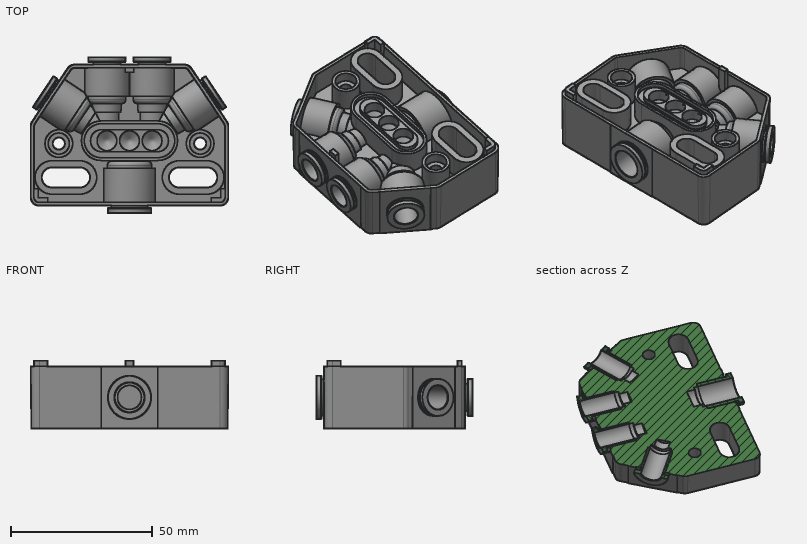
import cadquery as cq
import math

half_width = 35.0
half_depth = 25.0
housing_height = 22.0
floor_height = 12.6
wall = 1.2
draft_angle = 0.6
corner_radius = 3.0
shoulder_y = 4.0
shoulder_x = 21.0
slant_angle = math.degrees(math.atan2(half_depth - shoulder_y, half_width - shoulder_x))

rib_rise = 2.0
rib_thickness = 1.6
corner_rib_length = 4.8
back_rib_width = 3.0

manifold_y = -2.0
manifold_length = 34.0
manifold_width = 14.0
manifold_height = 21.8
manifold_lip = 1.0
groove_depth = 1.5
island_length = 27.6
island_width = 7.8
outlet_diameter = 7.0
outlet_depth = 4.2
outlet_tip_angle = 118.0
outlet_pitch = 8.0

tower_x = 25.0
tower_y = -3.0
tower_height = 21.8
tower_diameter = 9.8
counterbore_diameter = 7.5
counterbore_depth = 4.0
screw_diameter = 4.2

slot_x = 22.5
slot_y = -15.0
slot_length = 17.0
slot_width = 7.0
slot_wall = 2.4

port_z = housing_height / 2
back_port_x = 8.0
slant_port_shift = 0.7
protrusion = 2.6
flange_thickness = 1.9
flange_chamfer_length = 0.4
flange_chamfer_width = 0.2
mouth_recess_depth = 0.3
sleeve_depth = 10.5
tube_seat_depth = 12.0
bore_depth = 15.0
end_fillet = 1.5
mouth_chamfer = 0.2

small_port = {
    "barrel_radius": 8.0,
    "barrel_length": 11.3,
    "collar_radius": 6.85,
    "collar_end": 13.9,
    "flange_radius": 6.6,
    "sleeve_radius": 4.85,
    "tube_radius": 4.2,
    "bore_radius": 3.2,
    "pad_half_width": 9.0,
}
large_port = {
    "barrel_radius": 9.3,
    "barrel_length": 13.2,
    "collar_radius": 8.0,
    "collar_end": 15.8,
    "flange_radius": 7.7,
    "sleeve_radius": 6.5,
    "tube_radius": 5.2,
    "bore_radius": 4.25,
    "pad_half_width": 10.0,
}

neck_start_radius = 5.4
neck_end_radius = 5.2
neck_taper_end = 16.9
neck_radius = 4.55
back_neck_end = 20.0
slant_neck_end = 22.0


def port_frame(x, y, turn):
    """Workplane centred on a port mouth, its normal pointing into the housing.

    A turn of zero looks along +Y; positive turns are counter-clockwise from above.
    """
    angle = math.radians(turn)
    inward = (-math.sin(angle), math.cos(angle), 0)
    across = (math.cos(angle), math.sin(angle), 0)
    return cq.Workplane(cq.Plane(origin=(x, y, port_z), xDir=across, normal=inward))


slant_x = (half_width + shoulder_x) / 2 + slant_port_shift * math.cos(math.radians(slant_angle))
slant_y = (half_depth + shoulder_y) / 2 - slant_port_shift * math.sin(math.radians(slant_angle))

front_frame = port_frame(0, -half_depth, 0)
back_frames = [port_frame(side * back_port_x, half_depth, 180) for side in (-1, 1)]
slant_frames = [port_frame(side * slant_x, slant_y, side * (180 - slant_angle)) for side in (-1, 1)]
small_ports = [(frame, back_neck_end) for frame in back_frames]
small_ports += [(frame, slant_neck_end) for frame in slant_frames]


def outline_prism(inset, start, end, taper=0):
    """Prism on the housing outline, shrunk by the inset, that starts at one height and ends at another."""
    corners = [
        (-half_width, -half_depth),
        (half_width, -half_depth),
        (half_width, shoulder_y),
        (shoulder_x, half_depth),
        (-shoulder_x, half_depth),
        (-half_width, shoulder_y),
    ]
    block = cq.Workplane("XY").polyline(corners).close().extrude(housing_height)
    outline = block.edges("|Z").fillet(corner_radius).faces("<Z").wires().val()
    if inset > 0:
        outline = outline.offset2D(-inset)[0]
    outline = outline.translate(cq.Vector(0, 0, start))
    base = cq.Workplane("XY", origin=(0, 0, start))
    return base.add(outline).toPending().extrude(end - start, taper=taper)


def drafted_prism(inset, bottom):
    """Outline prism hanging from the rim level and narrowing towards its bottom."""
    return outline_prism(inset, housing_height, bottom, draft_angle)


def slot_prism(x, y, length, width, bottom, top):
    """Upright prism with a round-ended outline along X."""
    base = cq.Workplane("XY", origin=(x, y, bottom))
    return base.slot2D(length, width).extrude(top - bottom)


def disc(frame, start, end, radius):
    """Cylinder along a port axis between two depths below the port mouth."""
    return frame.workplane(offset=start).circle(radius).extrude(end - start)


def cone(frame, start, end, start_radius, end_radius):
    """Truncated cone along a port axis between two depths below the port mouth."""
    base = frame.workplane(offset=start).circle(start_radius)
    return base.workplane(offset=end - start).circle(end_radius).loft()


def pad(frame, half_span):
    """Upright, undrafted strip of outer wall around a port."""
    return frame.rect(2 * half_span, housing_height).extrude(wall)


def barrel(frame, port):
    """Stepped outside of a port: barrel, then a collar with a rounded end."""
    collar = disc(frame, 0, port["collar_end"], port["collar_radius"]).edges().fillet(end_fillet)
    return collar.union(disc(frame, 0, port["barrel_length"], port["barrel_radius"]))


def neck(frame, start, end):
    """Tapered then straight neck between a small port and the manifold boss."""
    taper = cone(frame, start, neck_taper_end, neck_start_radius, neck_end_radius)
    return taper.union(disc(frame, start, end, neck_radius))


def port_cavity(frame, port):
    """Stepped blind bore: flange recess, collet seat, tube seat and flow bore."""
    cavity = disc(frame, 0, mouth_recess_depth, port["flange_radius"])
    cavity = cavity.union(disc(frame, 0, sleeve_depth, port["sleeve_radius"]))
    cavity = cavity.union(disc(frame, 0, tube_seat_depth, port["tube_radius"]))
    return cavity.union(disc(frame, 0, bore_depth, port["bore_radius"]))


def collet(frame, port):
    """Release sleeve seated in a port, with a flange chamfered on its back edge."""
    flange_radius = port["flange_radius"]
    tube_radius = port["tube_radius"]
    outer_face = -protrusion
    flange_back = outer_face + flange_thickness
    chamfer_start = flange_back - flange_chamfer_length
    body = disc(frame, outer_face, sleeve_depth, port["sleeve_radius"])
    body = body.union(disc(frame, outer_face, chamfer_start, flange_radius))
    chamfer = cone(frame, chamfer_start, flange_back, flange_radius, flange_radius - flange_chamfer_width)
    body = body.union(chamfer)
    body = body.cut(disc(frame, outer_face, sleeve_depth, tube_radius))
    mouth_end = outer_face + mouth_chamfer
    return body.cut(cone(frame, outer_face, mouth_end, tube_radius + mouth_chamfer, tube_radius))


def ribs():
    """Back rib and two L-shaped corner ribs against the inner wall."""
    top = housing_height + rib_rise
    height = top - floor_height
    inner_x = half_width - wall
    inner_y = half_depth - wall
    blocks = cq.Workplane("XY", origin=(0, inner_y - rib_thickness / 2, floor_height))
    blocks = blocks.rect(back_rib_width, rib_thickness).extrude(height)
    for side in (-1, 1):
        corner = cq.Workplane("XY", origin=(side * inner_x, -inner_y, floor_height))
        middle = corner_rib_length / 2
        block = corner.center(-side * middle, middle)
        block = block.rect(corner_rib_length, corner_rib_length).extrude(height)
        notch_size = corner_rib_length - rib_thickness
        notch_middle = rib_thickness + notch_size / 2
        notch = corner.center(-side * notch_middle, notch_middle)
        notch = notch.rect(notch_size, notch_size).extrude(height)
        blocks = blocks.union(block.cut(notch))
    return blocks.intersect(outline_prism(wall, floor_height, top))


def outlet_holes():
    """Row of blind holes with drilled conical tips."""
    radius = outlet_diameter / 2
    tip = radius / math.tan(math.radians(outlet_tip_angle / 2))
    profile = [
        (0, 0),
        (radius, 0),
        (radius, -outlet_depth),
        (0, -outlet_depth - tip),
    ]
    drill = cq.Workplane("XZ").polyline(profile).close().revolve(360, (0, 0), (0, 1))
    holes = cq.Workplane("XY")
    for place in (-1, 0, 1):
        holes = holes.add(drill.translate((place * outlet_pitch, manifold_y, manifold_height)))
    return holes.combine()


def build_housing():
    body = drafted_prism(0, 0)
    body = body.union(pad(front_frame, large_port["pad_half_width"]))
    for frame, _ in small_ports:
        body = body.union(pad(frame, small_port["pad_half_width"]))
    body = body.cut(drafted_prism(wall, floor_height))

    body = body.union(slot_prism(0, manifold_y, manifold_length, manifold_width, 0, manifold_height))
    body = body.union(ribs())
    fittings = barrel(front_frame, large_port)
    for frame, neck_end in small_ports:
        fittings = fittings.union(barrel(frame, small_port))
        fittings = fittings.union(neck(frame, small_port["collar_end"], neck_end))
    body = body.union(fittings.intersect(drafted_prism(wall / 2, 0)))
    slot_boss_size = (slot_length + 2 * slot_wall, slot_width + 2 * slot_wall)
    for side in (-1, 1):
        body = body.union(slot_prism(side * slot_x, slot_y, *slot_boss_size, 0, housing_height))
        tower = cq.Workplane("XY").center(side * tower_x, tower_y)
        body = body.union(tower.circle(tower_diameter / 2).extrude(tower_height))

    lip_size = (manifold_length - 2 * manifold_lip, manifold_width - 2 * manifold_lip)
    groove_floor = manifold_height - groove_depth
    groove = slot_prism(0, manifold_y, *lip_size, groove_floor, manifold_height)
    groove = groove.cut(slot_prism(0, manifold_y, island_length, island_width, groove_floor, manifold_height))
    body = body.cut(groove).cut(outlet_holes())

    for side in (-1, 1):
        body = body.cut(slot_prism(side * slot_x, slot_y, slot_length, slot_width, 0, housing_height))
        screw = cq.Workplane("XY", origin=(side * tower_x, tower_y, tower_height))
        body = body.cut(screw.circle(screw_diameter / 2).extrude(-tower_height))
        body = body.cut(screw.circle(counterbore_diameter / 2).extrude(-counterbore_depth))

    body = body.cut(port_cavity(front_frame, large_port))
    for frame, _ in small_ports:
        body = body.cut(port_cavity(frame, small_port))
    return body


housing = build_housing()
large_collet = collet(front_frame, large_port)
small_collets = [collet(frame, small_port) for frame, _ in small_ports]

result = cq.Compound.makeCompound(
    [housing.val(), large_collet.val(), *[small.val() for small in small_collets]]
)